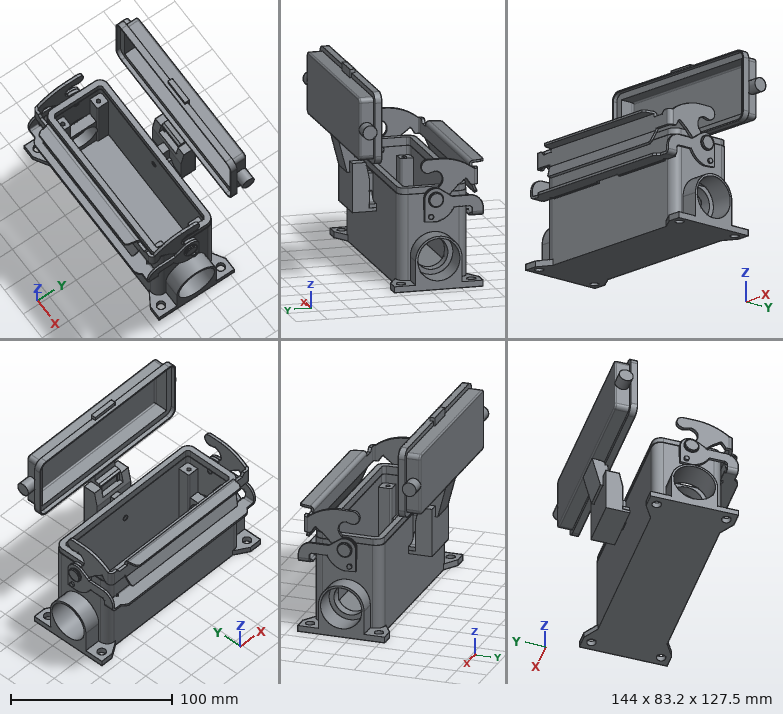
import cadquery as cq
import math

HOUSING_HALF_X = 60.3
HOUSING_HALF_Y = 22.5
HOUSING_TOP = 63.0
HOUSING_CORNER_R = 6.0
RIM_SETBACK = 0.5
RIM_HEIGHT = 4.0
RIM_BOTTOM = HOUSING_TOP - RIM_HEIGHT
CAVITY_HALF_X = 55.9
CAVITY_HALF_Y = 18.1
CAVITY_CORNER_R = 2.2
CAVITY_RELIEF = 0.3
CAVITY_MOUTH_DEPTH = 5.5
WALL_EMBED = 1.5

PLATE_HALF_X = 72.0
PLATE_HALF_Y = 28.5
PLATE_THICK = 3.9
EAR_EDGE_X = 62.8
EAR_ROOT_X = 53.0
EAR_HOLE_X = 65.8
EAR_HOLE_Y = 22.6
EAR_HOLE_R = 2.9

ENTRY_Z = 19.2
ENTRY_R = 15.0
ENTRY_SOCKET_R = 13.5
ENTRY_SOCKET_DEPTH = 15.8
ENTRY_BORE_R = 10.4

POST_SIZE_X = 7.8
POST_SIZE_Y = 8.2
POST_CORNER_R = 1.2
POST_TOP = 51.5
POST_HOLE_X = 52.0
POST_HOLE_Y = 13.5
POST_HOLE_R = 1.3
POST_HOLE_DEPTH = 8.6
END_PAD_THICK = 6.6
END_PAD_TOP = 31.0
WALL_HOLE_R = 1.9
WALL_HOLE_DEPTH = 0.5

FORK_HALF_X = 15.3
FORK_BACK_Y = 39.3
FORK_FRONT_Y = 28.4
FORK_TOP_FRONT_Y = 30.5
FORK_BOTTOM = 37.3
FORK_TOP = 68.8
STEM_HALF_X = 3.2
STEM_BOTTOM = 39.5
STEM_TOP = 58.5
TONGUE_HALF_X = 9.0
FOOT_HALF_X = 15.0
FOOT_FRONT_Y = 23.8
FOOT_TOE_TOP = 41.9
FOOT_TOP = 47.4
FOOT_TOE_X = 10.8
FOOT_FILLET_R = FOOT_TOP - FOOT_TOE_TOP
HINGE_HOLE_Z = 43.9

PIVOT_Z = 55.9
PIVOT_R = 2.6
PIVOT_HEAD_R = 4.8
PIVOT_HEAD_X = 65.2
PIVOT_END_X = 66.8
PIVOT_COLLAR_R = 4.3
PIVOT_CHAMFER = 0.6

COVER_FRONT_Y = 33.5
COVER_BACK_Y = 47.2
COVER_CENTER_Z = 102.2
FLANGE_HALF_X = 61.5
FLANGE_HALF_Z = 22.9
FLANGE_THICK = 4.5
FLANGE_CORNER_R = 5.8
FLANGE_RIM_THICK = 0.9
SEAL_RECESS_DEPTH = 2.9
SHELL_HALF_X = 58.5
SHELL_HALF_Z = 19.9
SHELL_CORNER_R = 2.9
SHELL_EDGE_R = 1.0
POCKET_HALF_X = 56.3
POCKET_HALF_Z = 17.9
POCKET_FLOOR_Y = 46.1
POCKET_FLOOR_R = 1.0
COVER_PIN_R = 4.5
COVER_PIN_END_X = 67.0
COVER_PIN_Y = COVER_BACK_Y - COVER_PIN_R
TAB_FRONT_Y = 35.7
TAB_BACK_Y = 39.0
TAB_TOP = 127.5
TONGUE_BOTTOM = 61.6
TONGUE_FRONT_Y = 32.0
TONGUE_LIP_Z = 69.0
TONGUE_PANEL_HALF_X = 7.2
TONGUE_PANEL_DEPTH = 0.9

LOCK_OUTER_X = 63.0
LOCK_THICK = 2.0
LOCK_BAR_Y = -28.2
LOCK_BEND_R = 2.9
LOCK_BAR_BOTTOM = 63.2
LOCK_BAR_TOP = 73.3
LOCK_BAR_DIP = 71.0
LOCK_LIP_THICK = 1.5
LOCK_LIP_TOP = 74.5
LOCK_LIP_Y = -36.0
LOCK_LIP_HALF_X = 48.8
LOCK_LIP_BEND_R = 2.6
GUARD_HALF_X = 50.1
GUARD_BOTTOM = 53.3
LOCK_ROOT_R = 9.5
LOCK_HEAD_R = 6.6
HOOK_TIP_Y = 4.3
HOOK_TIP_Z = 76.6
HOOK_TIP_R = 4.3
HOOK_MOUTH_Z = 68.3
HOOK_MOUTH_R = 5.2

SPRING_OUTER_X = 64.7
SPRING_THICK = 1.6
SPRING_HEAD_R = 6.9
SPRING_BAR_BOTTOM = 43.3
SPRING_BEND_R = 2.9
SPRING_EDGE_R = 1.2
SPRING_ARM_FRONT_Y = -30.8
SPRING_ARM_BACK_Y = -23.8
SPRING_LIP_Y = -34.0
SPRING_BEAD_DEPTH = 0.6
SPRING_BEAD_END_X = 51.8
NOTCH_HALF_X = 9.6
NOTCH_Y = -24.8
SIDE_NOTCH_X = 53.1
SIDE_NOTCH_Y = -23.3
SIDE_NOTCH_R = 1.2
STUD_Y = 3.0
STUD_Z = 45.0
STUD_R = 1.6
STUD_HEIGHT = 1.2

SIDES = (-1, 1)


def box(x0, x1, y0, y1, z0, z1):
    """Box between two corner points."""
    return cq.Workplane("XY").box(x1 - x0, y1 - y0, z1 - z0, centered=False).translate((x0, y0, z0))


def x_cylinder(radius, x0, x1, y, z):
    """Cylinder along X between x0 and x1."""
    return cq.Workplane("YZ", origin=(x0, 0, 0)).center(y, z).circle(radius).extrude(x1 - x0)


def rounded_block(half_x, half_y, z0, z1, corner_r):
    """Upright block with rounded corners, centred on the Z axis."""
    block = box(-half_x, half_x, -half_y, half_y, z0, z1)
    return block.edges("|Z").fillet(corner_r)


def mirror_x(shape):
    return shape.mirror("YZ")


def mounting_plate():
    quarter = [
        (EAR_ROOT_X, HOUSING_HALF_Y),
        (EAR_EDGE_X, PLATE_HALF_Y),
        (PLATE_HALF_X, PLATE_HALF_Y),
    ]
    right = quarter + [(x, -y) for x, y in reversed(quarter)]
    left = [(-x, -y) for x, y in right]
    plate = cq.Workplane("XY").polyline(right + left).close().extrude(PLATE_THICK)
    holes = [(i * EAR_HOLE_X, j * EAR_HOLE_Y) for i in SIDES for j in SIDES]
    return plate.cut(cq.Workplane("XY").pushPoints(holes).circle(EAR_HOLE_R).extrude(PLATE_THICK))


def housing_cavity():
    mouth_bottom = HOUSING_TOP - CAVITY_MOUTH_DEPTH
    lower = rounded_block(CAVITY_HALF_X + CAVITY_RELIEF, CAVITY_HALF_Y + CAVITY_RELIEF,
                          PLATE_THICK, mouth_bottom, CAVITY_CORNER_R)
    mouth = rounded_block(CAVITY_HALF_X, CAVITY_HALF_Y, mouth_bottom, HOUSING_TOP, CAVITY_CORNER_R)
    return lower.union(mouth)


def corner_post(i, j):
    """Screw post in the cavity corner with X sign i and Y sign j."""
    inner_x = CAVITY_HALF_X - POST_SIZE_X
    inner_y = CAVITY_HALF_Y - POST_SIZE_Y
    post = box(inner_x, CAVITY_HALF_X + WALL_EMBED, inner_y, CAVITY_HALF_Y + WALL_EMBED, PLATE_THICK, POST_TOP)
    post = post.edges("|Z and <X and <Y").fillet(POST_CORNER_R)
    hole = cq.Workplane("XY", origin=(POST_HOLE_X, POST_HOLE_Y, POST_TOP - POST_HOLE_DEPTH))
    post = post.cut(hole.circle(POST_HOLE_R).extrude(POST_HOLE_DEPTH))
    if i < 0:
        post = post.mirror("YZ")
    if j < 0:
        post = post.mirror("XZ")
    return post


def cable_entry():
    """Tube on a saddle at the +X end."""
    tube = x_cylinder(ENTRY_R, CAVITY_HALF_X + WALL_EMBED, PLATE_HALF_X, 0, ENTRY_Z)
    saddle = box(CAVITY_HALF_X + WALL_EMBED, PLATE_HALF_X, -ENTRY_R, ENTRY_R, 0, ENTRY_Z)
    return tube.union(saddle)


def hinge_fork():
    side = [
        (FORK_BACK_Y, FORK_BOTTOM),
        (FORK_FRONT_Y, FORK_BOTTOM),
        (FORK_FRONT_Y, STEM_TOP),
        (FORK_TOP_FRONT_Y, FORK_TOP),
        (FORK_BACK_Y, FORK_TOP),
    ]
    fork = cq.Workplane("YZ").polyline(side).close().extrude(FORK_HALF_X, both=True)
    slot = box(-TONGUE_HALF_X, TONGUE_HALF_X, 0, FORK_BACK_Y, TONGUE_BOTTOM, FORK_TOP)
    sole = box(-FORK_HALF_X, FORK_HALF_X, FOOT_FRONT_Y, FORK_FRONT_Y, FORK_BOTTOM, STEM_BOTTOM)
    foot = (
        cq.Workplane("XZ", origin=(0, FORK_FRONT_Y, 0))
        .moveTo(-FOOT_HALF_X, STEM_BOTTOM)
        .lineTo(FOOT_HALF_X, STEM_BOTTOM)
        .lineTo(FOOT_HALF_X, FOOT_TOE_TOP)
        .lineTo(FOOT_TOE_X, FOOT_TOE_TOP)
        .radiusArc((FOOT_TOE_X - FOOT_FILLET_R, FOOT_TOP), FOOT_FILLET_R)
        .lineTo(FOOT_FILLET_R - FOOT_TOE_X, FOOT_TOP)
        .radiusArc((-FOOT_TOE_X, FOOT_TOE_TOP), FOOT_FILLET_R)
        .lineTo(-FOOT_HALF_X, FOOT_TOE_TOP)
        .close()
        .extrude(FORK_FRONT_Y - FOOT_FRONT_Y)
    )
    stem = box(-STEM_HALF_X, STEM_HALF_X, HOUSING_HALF_Y - WALL_EMBED, FORK_FRONT_Y, STEM_BOTTOM, STEM_TOP)
    return fork.cut(slot).union(sole).union(foot).union(stem)


def pivot_pin():
    """Headed pin that carries both levers at the +X end."""
    shank = x_cylinder(PIVOT_R, HOUSING_HALF_X - WALL_EMBED, PIVOT_HEAD_X, 0, PIVOT_Z)
    collar = x_cylinder(PIVOT_COLLAR_R, SPRING_OUTER_X, PIVOT_HEAD_X, 0, PIVOT_Z)
    head = x_cylinder(PIVOT_HEAD_R, PIVOT_HEAD_X, PIVOT_END_X, 0, PIVOT_Z)
    head = head.faces(">X").edges().chamfer(PIVOT_CHAMFER)
    return shank.union(collar).union(head)


def make_housing():
    walls = rounded_block(HOUSING_HALF_X, HOUSING_HALF_Y, 0, RIM_BOTTOM, HOUSING_CORNER_R)
    rim = rounded_block(HOUSING_HALF_X - RIM_SETBACK, HOUSING_HALF_Y - RIM_SETBACK,
                        RIM_BOTTOM, HOUSING_TOP, HOUSING_CORNER_R - RIM_SETBACK)
    body = walls.union(rim).union(mounting_plate())
    entry = cable_entry()
    body = body.union(entry).union(mirror_x(entry)).cut(housing_cavity())

    pad = box(CAVITY_HALF_X - END_PAD_THICK, HOUSING_HALF_X - WALL_EMBED,
              -CAVITY_HALF_Y - CAVITY_RELIEF, CAVITY_HALF_Y + CAVITY_RELIEF, PLATE_THICK, END_PAD_TOP)
    body = body.union(pad).union(mirror_x(pad))
    for i in SIDES:
        for j in SIDES:
            body = body.union(corner_post(i, j))

    bore = x_cylinder(ENTRY_BORE_R, -PLATE_HALF_X, PLATE_HALF_X, 0, ENTRY_Z)
    socket = x_cylinder(ENTRY_SOCKET_R, PLATE_HALF_X - ENTRY_SOCKET_DEPTH, PLATE_HALF_X, 0, ENTRY_Z)
    body = body.cut(bore).cut(socket).cut(mirror_x(socket))

    pin = pivot_pin()
    body = body.union(hinge_fork()).union(pin).union(mirror_x(pin))

    hole_reach = CAVITY_HALF_X + CAVITY_RELIEF + WALL_HOLE_DEPTH
    pivot_holes = x_cylinder(WALL_HOLE_R, -hole_reach, hole_reach, 0, PIVOT_Z)
    hinge_hole = cq.Workplane("XZ").center(0, HINGE_HOLE_Z).circle(WALL_HOLE_R)
    hinge_hole = hinge_hole.extrude(-(CAVITY_HALF_Y + CAVITY_RELIEF + WALL_HOLE_DEPTH))
    return body.cut(pivot_holes).cut(hinge_hole)


def cover_slab(half_x, half_z, y0, y1):
    return box(-half_x, half_x, y0, y1, COVER_CENTER_Z - half_z, COVER_CENTER_Z + half_z)


def cover_tongue():
    """Hinge tongue with a short lip, hanging into the fork."""
    side = [
        (COVER_BACK_Y - 0.6, COVER_CENTER_Z - SHELL_HALF_Z + 1.5),
        (40.9, TONGUE_BOTTOM),
        (TONGUE_FRONT_Y, TONGUE_BOTTOM),
        (TONGUE_FRONT_Y, TONGUE_LIP_Z),
        (31.1, TONGUE_LIP_Z),
        (31.1, 70.0),
        (32.7, 70.8),
        (36.0, 71.3),
        (36.0, COVER_CENTER_Z - FLANGE_HALF_Z + 1.5),
    ]
    tongue = cq.Workplane("YZ").polyline(side).close().extrude(TONGUE_HALF_X, both=True)
    panel = box(-TONGUE_PANEL_HALF_X, TONGUE_PANEL_HALF_X, TONGUE_FRONT_Y,
                TONGUE_FRONT_Y + TONGUE_PANEL_DEPTH, TONGUE_BOTTOM, TONGUE_LIP_Z)
    return tongue.cut(panel)


def make_cover():
    flange_back_y = COVER_FRONT_Y + FLANGE_THICK
    flange = cover_slab(FLANGE_HALF_X, FLANGE_HALF_Z, COVER_FRONT_Y, flange_back_y)
    flange = flange.edges("|Y").fillet(FLANGE_CORNER_R)
    shell = cover_slab(SHELL_HALF_X, SHELL_HALF_Z, flange_back_y, COVER_BACK_Y)
    shell = shell.edges("|Y").fillet(SHELL_CORNER_R)
    shell = shell.faces(">Y").edges().fillet(SHELL_EDGE_R)
    cover = flange.union(shell).union(cover_tongue())

    tab = box(-TONGUE_HALF_X, TONGUE_HALF_X, TAB_FRONT_Y, TAB_BACK_Y, COVER_CENTER_Z + SHELL_HALF_Z, TAB_TOP)
    pins = x_cylinder(COVER_PIN_R, -COVER_PIN_END_X, COVER_PIN_END_X, COVER_PIN_Y, COVER_CENTER_Z)
    seat_y = COVER_FRONT_Y + SEAL_RECESS_DEPTH
    recess = cover_slab(FLANGE_HALF_X - FLANGE_RIM_THICK, FLANGE_HALF_Z - FLANGE_RIM_THICK, COVER_FRONT_Y, seat_y)
    recess = recess.edges("|Y").fillet(FLANGE_CORNER_R - FLANGE_RIM_THICK)
    pocket = cover_slab(POCKET_HALF_X, POCKET_HALF_Z, seat_y, POCKET_FLOOR_Y)
    pocket = pocket.faces(">Y").edges().fillet(POCKET_FLOOR_R)
    return cover.union(tab).union(pins).cut(recess).cut(pocket)


def end_plate(outline, outer_x, thick):
    """Flat plate at the +X end, cut from an outline on the YZ plane."""
    return outline.close().extrude(thick).translate((outer_x - thick, 0, 0))


def pivot_hole():
    return x_cylinder(PIVOT_R, -PIVOT_HEAD_X, PIVOT_HEAD_X, 0, PIVOT_Z)


def on_pivot(radius, angle):
    """Point on a circle about the pivot, angle in degrees from +Y toward +Z."""
    turn = math.radians(angle)
    return (radius * math.cos(turn), PIVOT_Z + radius * math.sin(turn))


def lock_plate():
    """Hooked end plate of the locking lever."""
    heel_angle = 168
    base_angle = 314
    outline = (
        cq.Workplane("YZ")
        .moveTo(HOOK_TIP_Y, HOOK_TIP_Z + HOOK_TIP_R)
        .lineTo(-4.8, HOOK_TIP_Z + HOOK_TIP_R)
        .threePointArc((-14.4, 79.2), (-25.3, LOCK_BAR_TOP))
        .lineTo(-25.3, LOCK_BAR_BOTTOM)
        .lineTo(-23.2, LOCK_BAR_BOTTOM)
        .lineTo(-20.9, 66.8)
        .lineTo(-20.0, 67.4)
        .lineTo(-14.7, 63.4)
        .lineTo(*on_pivot(LOCK_ROOT_R, heel_angle))
        .threePointArc(on_pivot(LOCK_ROOT_R, 250), on_pivot(LOCK_ROOT_R, base_angle))
        .lineTo(LOCK_HEAD_R, PIVOT_Z)
        .threePointArc(on_pivot(LOCK_HEAD_R, 60), on_pivot(LOCK_HEAD_R, 115))
        .lineTo(-2.7, 63.4)
        .threePointArc((-HOOK_MOUTH_R, HOOK_MOUTH_Z), (0, HOOK_MOUTH_Z + HOOK_MOUTH_R))
        .lineTo(HOOK_TIP_Y, HOOK_TIP_Z - HOOK_TIP_R)
        .threePointArc((HOOK_TIP_Y + HOOK_TIP_R, HOOK_TIP_Z), (HOOK_TIP_Y, HOOK_TIP_Z + HOOK_TIP_R))
    )
    return end_plate(outline, LOCK_OUTER_X, LOCK_THICK)


def bend(outer_r, thick):
    """Quarter ring profile from (outer_r, 0) round to (0, outer_r), centred on the origin."""
    inner_r = outer_r - thick
    mid = math.sqrt(0.5)
    return (
        cq.Workplane("XY")
        .moveTo(outer_r, 0)
        .threePointArc((outer_r * mid, outer_r * mid), (0, outer_r))
        .lineTo(0, inner_r)
        .threePointArc((inner_r * mid, inner_r * mid), (inner_r, 0))
        .close()
    )


def lock_bar():
    """Cross bar with its top edge dipping beside the lip, joined to both plates by bends."""
    bend_x = LOCK_OUTER_X - LOCK_BEND_R
    bend_y = LOCK_BAR_Y + LOCK_BEND_R
    right = [
        (bend_x, LOCK_BAR_BOTTOM),
        (bend_x, LOCK_BAR_TOP),
        (57.6, LOCK_BAR_TOP),
        (55.6, LOCK_BAR_DIP),
        (LOCK_LIP_HALF_X, LOCK_BAR_DIP),
    ]
    outline = right + [(-x, z) for x, z in reversed(right)]
    bar = cq.Workplane("XZ", origin=(0, LOCK_BAR_Y + LOCK_THICK, 0)).polyline(outline).close().extrude(LOCK_THICK)
    corner = bend(LOCK_BEND_R, LOCK_THICK).extrude(LOCK_BAR_TOP - LOCK_BAR_BOTTOM)
    corner = corner.mirror("XZ").translate((bend_x, bend_y, LOCK_BAR_BOTTOM))
    return bar.union(corner).union(mirror_x(corner))


def lock_thumb_lip():
    """Forward lip, curled over from the top of the bar."""
    bar_back_y = LOCK_BAR_Y + LOCK_THICK
    side = [
        (bar_back_y, LOCK_BAR_DIP),
        (bar_back_y, LOCK_LIP_TOP),
        (LOCK_LIP_Y, LOCK_LIP_TOP),
        (LOCK_LIP_Y, LOCK_LIP_TOP - LOCK_LIP_THICK),
        (LOCK_BAR_Y, LOCK_LIP_TOP - LOCK_LIP_THICK),
        (LOCK_BAR_Y, LOCK_BAR_DIP),
    ]
    lip = cq.Workplane("YZ").polyline(side).close().extrude(LOCK_LIP_HALF_X, both=True)
    lip = lip.edges("|X and >Y and >Z").fillet(LOCK_LIP_BEND_R)
    right = [(LOCK_LIP_HALF_X, bar_back_y), (47.2, -33.8), (45.8, LOCK_LIP_Y)]
    outline = right + [(-x, y) for x, y in reversed(right)]
    return lip.intersect(cq.Workplane("XY").polyline(outline).close().extrude(LOCK_LIP_TOP))


def lock_guard_lip():
    """Lip slanting forward and down from the bottom of the bar."""
    side = [
        (LOCK_BAR_Y + LOCK_THICK, LOCK_BAR_BOTTOM),
        (LOCK_BAR_Y, LOCK_BAR_BOTTOM),
        (LOCK_BAR_Y, 61.8),
        (-31.7, 54.1),
        (-30.2, GUARD_BOTTOM),
    ]
    lip = cq.Workplane("YZ").polyline(side).close().extrude(GUARD_HALF_X, both=True)
    right = [(GUARD_HALF_X, LOCK_BAR_BOTTOM), (48.1, 55.0), (46.4, GUARD_BOTTOM)]
    outline = right + [(-x, z) for x, z in reversed(right)]
    return lip.intersect(cq.Workplane("XZ").polyline(outline).close().extrude(-LOCK_LIP_Y))


def make_locking_lever():
    plate = lock_plate()
    lever = lock_bar().union(plate).union(mirror_x(plate)).union(lock_thumb_lip()).union(lock_guard_lip())
    return lever.cut(pivot_hole())


def spring_plate():
    """Curved arm of the spring lever."""
    bend_z = SPRING_BAR_BOTTOM + SPRING_BEND_R
    outline = (
        cq.Workplane("YZ")
        .moveTo(SPRING_HEAD_R, 41.8)
        .lineTo(SPRING_HEAD_R, PIVOT_Z)
        .threePointArc(on_pivot(SPRING_HEAD_R, 60), on_pivot(SPRING_HEAD_R, 115))
        .lineTo(-9.4, 57.9)
        .lineTo(-10.8, 56.9)
        .lineTo(-23.0, 56.9)
        .threePointArc((-28.7, 54.0), (SPRING_ARM_FRONT_Y, 48.1))
        .lineTo(SPRING_ARM_FRONT_Y, bend_z)
        .lineTo(SPRING_ARM_BACK_Y, bend_z)
        .lineTo(SPRING_ARM_BACK_Y, 48.7)
        .lineTo(-22.2, 50.1)
        .lineTo(-12.0, 50.1)
        .threePointArc((-7.6, 44.6), (-0.7, 41.3))
    )
    return end_plate(outline, SPRING_OUTER_X, SPRING_THICK)


def spring_bar():
    """Flat cross bar lying against the housing, bent up into the arms."""
    bend_x = SPRING_OUTER_X - SPRING_BEND_R
    bend_z = SPRING_BAR_BOTTOM + SPRING_BEND_R
    right = [
        (bend_x, -HOUSING_HALF_Y),
        (bend_x, SPRING_ARM_FRONT_Y),
        (57.2, SPRING_ARM_FRONT_Y),
        (55.6, -32.7),
        (53.3, SPRING_LIP_Y),
    ]
    outline = right + [(-x, y) for x, y in reversed(right)]
    bar = cq.Workplane("XY", origin=(0, 0, SPRING_BAR_BOTTOM)).polyline(outline).close().extrude(SPRING_THICK)
    bar = bar.edges(">Y and >Z").fillet(SPRING_EDGE_R)
    bead = box(-SPRING_BEAD_END_X, SPRING_BEAD_END_X, -HOUSING_HALF_Y - SPRING_EDGE_R, -HOUSING_HALF_Y,
               SPRING_BAR_BOTTOM - SPRING_BEAD_DEPTH, SPRING_BAR_BOTTOM)
    corner = bend(SPRING_BEND_R, SPRING_THICK).extrude(SPRING_ARM_BACK_Y - SPRING_ARM_FRONT_Y)
    corner = corner.rotate((0, 0, 0), (1, 0, 0), -90)
    corner = corner.translate((bend_x, SPRING_ARM_FRONT_Y, bend_z))
    bar = bar.union(bead).union(corner).union(mirror_x(corner))

    notch = box(-NOTCH_HALF_X, NOTCH_HALF_X, NOTCH_Y, 0, 0, HOUSING_TOP)
    side_notches = (
        cq.Workplane("XY")
        .pushPoints([(i * SIDE_NOTCH_X, SIDE_NOTCH_Y) for i in SIDES])
        .circle(SIDE_NOTCH_R)
        .extrude(HOUSING_TOP)
    )
    return bar.cut(notch).cut(side_notches)


def make_spring_lever():
    stud = x_cylinder(STUD_R, SPRING_OUTER_X, SPRING_OUTER_X + STUD_HEIGHT, STUD_Y, STUD_Z)
    arm = spring_plate().union(stud)
    lever = spring_bar().union(arm).union(mirror_x(arm))
    return lever.cut(pivot_hole())


housing = make_housing()
cover = make_cover()
locking_lever = make_locking_lever()
spring_lever = make_spring_lever()

result = cq.Compound.makeCompound([housing.val(), cover.val(), locking_lever.val(), spring_lever.val()])